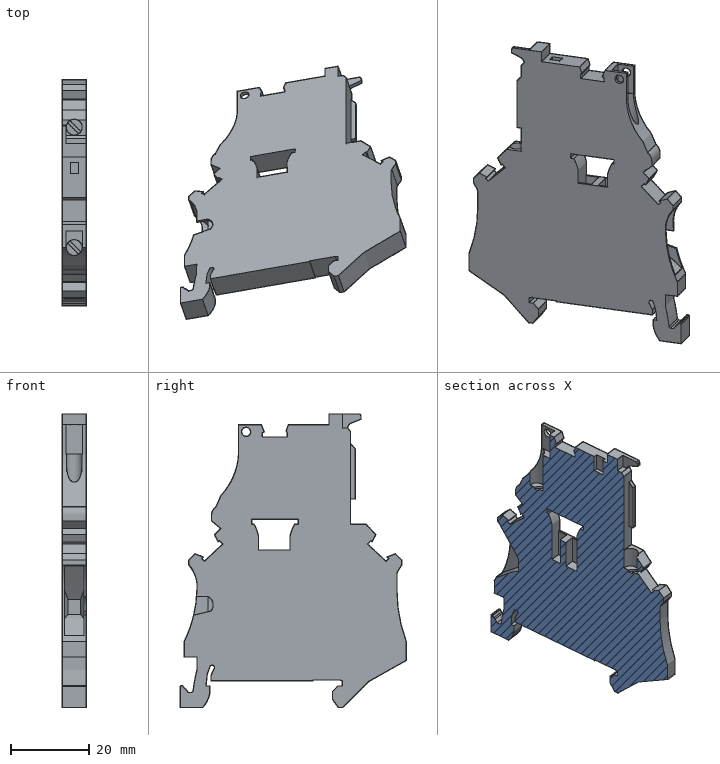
import cadquery as cq


thickness = 6.15
length = 57.8
height = 75.0
side_wall = 0.5
lever_wall = 1.0
seam_z = 46.85
lever_end = 43.6
clearance = 0.75

hook_mid_y = 29.4
shoulder = [(47.45, seam_z), (50.0, 44.2), (49.0, 42.3), (48.7, 42.6), (47.9, 41.8),
            (52.55, 37.4), (53.2, 38.1), (52.8, 38.5), (54.95, 39.3), (56.6, 37.65), (56.6, 36.45)]

hinge_y = 10.65
hinge_z = 49.1
hinge_radius = 2.6
hinge_web_z = 47.7
hinge_root = (10.35, 45.75)

window_y = (20.1, 28.05)
window_floor = 40.3
window_flare_z = 43.7
window_flare_bend = 0.45
window_flare = 1.2
recess_y = (18.4, 30.15)
recess_top = 48.05
rib_y = (22.7, 24.6)
cell_depth = 7.5

funnel_back = 9.0
funnel_mouth_top = (2.55, 36.15)
funnel_mouth_bottom = (1.95, 18.45)
throat_start = 7.1
throat_inset = 0.9
throat_z = (23.8, 27.7)
notch_z = (23.7, 28.35)
funnel_z = (22.65, 30.15)

screw_radius = 2.0
screw_x = 3.1
screw_slot_width = 0.8
screw_slot_depth = 0.6
screw_slot_angle = -45
housing_screw_y = 45.7
housing_screw_z = 41.25
lever_screw_y = 14.9
lever_screw_z = 53.2

lever_top = 72.3
lever_face = 14.9
pocket_back = 19.2
pocket_floor = 64.8
eye_y = 16.9
eye_z = 70.4
eye_radius = 1.1
thumb_front = 38.0
thumb_back = 41.5
thumb_ledge = 71.4
test_hole_y = (33.9, 36.6)
test_hole_x = (2.2, 4.1)
test_hole_depth = 4.5


def mirror_hooks(points):
    """Reflect shoulder points to the clip side, in reverse order."""
    return [(2 * hook_mid_y - y, z) for y, z in reversed(points)]


def plate(profile, x_start=0.0, x_end=thickness):
    """Extrude a closed (y, z) wire between two X positions."""
    return profile.close().extrude(x_end - x_start).translate((x_start, 0, 0))


def box(x_range, y_range, z_range):
    """Axis-aligned block from its three ranges."""
    sizes = [b - a for a, b in (x_range, y_range, z_range)]
    corner = (x_range[0], y_range[0], z_range[0])
    return cq.Workplane("XY").box(*sizes, centered=False).translate(corner)


def yz():
    """Sketch plane across the thickness, with local axes Y and Z."""
    return cq.Workplane("YZ")


def housing():
    """Full-thickness housing with both rail feet."""
    clip_side = mirror_hooks(shoulder)
    profile = (
        yz()
        .moveTo(0, 0).lineTo(0, 5.4).lineTo(0.2, 5.6).lineTo(0.7, 5.6)
        .lineTo(1.05, 5.0).lineTo(1.4, 4.8).lineTo(2.1, 3.9).lineTo(2.9, 3.9).lineTo(3.3, 4.2)
        .threePointArc((3.7, 6.75), (4.3, 9.6)).lineTo(4.3, 12.9)
        .lineTo(1.05, 12.9).lineTo(1.05, 16.9)
        .threePointArc((3.4, 23.2), (4.3, 30.0))
        .threePointArc((3.8, 33.75), clip_side[0])
        .polyline(clip_side[1:-1] + [hinge_root, clip_side[-1]], includeCurrent=True)
        .polyline(shoulder, includeCurrent=True)
        .lineTo(55.55, 34.7).lineTo(55.4, 34.05).lineTo(55.4, 30.0)
        .threePointArc((56.15, 22.5), (length, 16.8))
        .lineTo(length, 12.1).lineTo(48.2, 6.7).lineTo(41.55, 0).lineTo(40.4, 0)
        .lineTo(38.9, 2.1).lineTo(38.9, 4.1).lineTo(40.35, 5.55).lineTo(41.4, 5.55)
        .lineTo(41.4, 6.8).lineTo(40.7, 7.05).lineTo(34.0, 7.05).lineTo(34.0, 6.8)
        .lineTo(7.9, 6.8).lineTo(7.9, 8.25).lineTo(8.6, 9.8)
        .threePointArc((8.3, 10.8), (7.65, 10.4))
        .lineTo(7.0, 8.55).lineTo(6.7, 5.55).lineTo(7.65, 5.55)
        .lineTo(7.65, 3.75).threePointArc((7.0, 1.7), (5.8, 0))
    )
    return plate(profile)


def lever():
    """Fuse lever with its thumb nose, marker groove and concave front."""
    profile = (
        yz()
        .moveTo(hinge_y, seam_z).lineTo(lever_end, seam_z).lineTo(lever_end, 53.2)
        .lineTo(44.8, 53.2).lineTo(44.8, 66.05).lineTo(lever_end, 67.4).lineTo(lever_end, 70.5)
        .lineTo(42.8, thumb_ledge).threePointArc((43.05, 72.05), (43.65, 72.6))
        .lineTo(46.3, 73.6).lineTo(46.3, 74.45).lineTo(46.0, height)
        .lineTo(thumb_front, height).lineTo(thumb_front, lever_top)
        .lineTo(27.7, lever_top).lineTo(27.1, 70.7).lineTo(27.4, 70.1).lineTo(27.4, 69.1)
        .lineTo(21.0, 69.1).lineTo(21.0, 70.1).lineTo(21.5, 70.4).lineTo(20.8, lever_top)
        .lineTo(lever_face, lever_top).lineTo(lever_face, 64.7)
        .threePointArc((13.7, 59.3), (10.4, 54.1))
        .lineTo(9.15, 51.3).lineTo(hinge_y, hinge_z)
    )
    return plate(profile)


def hinge():
    """Hinge barrel with the web that joins it to the housing."""
    barrel = yz().center(hinge_y, hinge_z).circle(hinge_radius).extrude(thickness)
    nose_y = hinge_y - hinge_radius
    web = yz().polyline([(nose_y, hinge_z), (nose_y, hinge_web_z), hinge_root,
                         (hinge_y + hinge_radius, hinge_root[1]), (hinge_y, hinge_z)])
    return barrel.union(plate(web))


def window():
    """Flared opening through the thickness, with two cells sunk below it."""
    y_low, y_high = window_y
    bend_z = (window_flare_z + seam_z) / 2
    flared = plate(
        yz().moveTo(y_low, window_floor).lineTo(y_low, window_flare_z)
        .threePointArc((y_low - window_flare_bend, bend_z), (y_low - window_flare, seam_z))
        .lineTo(y_high + window_flare, seam_z)
        .threePointArc((y_high + window_flare_bend, bend_z), (y_high, window_flare_z))
        .lineTo(y_high, window_floor)
    )
    opening = flared.union(box((0, thickness), recess_y, (seam_z, recess_top)))
    for cell_y in ((y_low, rib_y[0]), (rib_y[1], y_high)):
        cell_z = (window_floor - cell_depth, window_floor)
        opening = opening.union(box((side_wall, thickness - side_wall), cell_y, cell_z))
    return opening


def wire_funnel():
    """Wedge-shaped wire entry that tapers into a throat, plus the notch in its +X wall."""
    inner_x = (side_wall, thickness - side_wall)
    entry = plate(
        yz().polyline([funnel_mouth_bottom, (throat_start, funnel_z[0]),
                       (throat_start, funnel_z[1]), funnel_mouth_top,
                       (0, funnel_mouth_top[1]), (0, funnel_mouth_bottom[1])]),
        *inner_x,
    )
    mid_x = thickness / 2
    inner_width = inner_x[1] - inner_x[0]
    throat_depth = funnel_back - throat_start
    throat = (
        cq.Workplane("XZ", origin=(mid_x, throat_start, sum(funnel_z) / 2))
        .rect(inner_width, funnel_z[1] - funnel_z[0])
        .workplane(offset=-throat_depth)
        .center(0, (sum(throat_z) - sum(funnel_z)) / 2)
        .rect(inner_width - 2 * throat_inset, throat_z[1] - throat_z[0])
        .loft()
    )
    notch = plate(
        yz().moveTo(0, notch_z[1]).lineTo(7.1, notch_z[1]).threePointArc((8.5, 26.25), (7.9, 24.7))
        .lineTo(3.9, notch_z[0]).lineTo(0, notch_z[0]),
        inner_x[1], thickness,
    )
    return entry.union(throat).union(notch)


def screw_well(y, floor_z, top_z):
    """Round screwdriver shaft ending on a screw head with a diagonal slot."""
    shaft = cq.Workplane("XY", origin=(screw_x, y, floor_z)).circle(screw_radius).extrude(top_z - floor_z)
    slot = (
        cq.Workplane("XY", origin=(screw_x, y, floor_z - screw_slot_depth))
        .transformed(rotate=(0, 0, screw_slot_angle))
        .slot2D(2 * screw_radius, screw_slot_width)
        .extrude(screw_slot_depth)
    )
    return shaft.union(slot)


def lever_cuts():
    """Pocket, eye, test hole and the setback behind the nose plate."""
    inner_x = (lever_wall, thickness - lever_wall)
    full_x = (lever_wall, thickness)
    nose_y = (lever_end, length)
    pocket = box(inner_x, (lever_face - clearance, pocket_back), (pocket_floor, lever_top + clearance))
    eye = yz().center(eye_y, eye_z).circle(eye_radius).extrude(thickness)
    test_hole = box(test_hole_x, test_hole_y, (lever_top - test_hole_depth, lever_top))
    setback = box(full_x, nose_y, (seam_z, height))
    ledge = box(full_x, (thumb_back, length), (thumb_ledge, height))
    return [pocket, eye, test_hole, setback, ledge]


moving_part = lever()
for cutter in lever_cuts():
    moving_part = moving_part.cut(cutter)

base = housing().cut(screw_well(housing_screw_y, housing_screw_z, seam_z))

result = (
    base.union(moving_part)
    .union(hinge())
    .cut(screw_well(lever_screw_y, lever_screw_z, pocket_floor))
    .cut(window())
    .cut(wire_funnel())
    .clean()
)